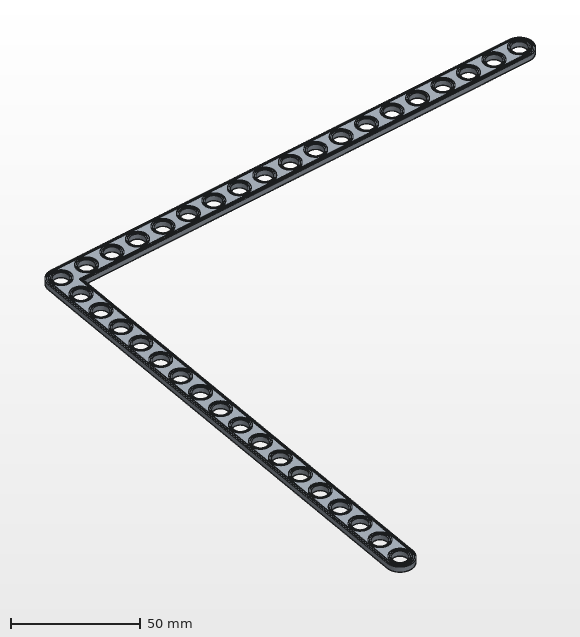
import cadquery as cq

long_arm_length = 237.5
long_arm_holes = 19
short_arm_holes = 18
thickness = 3.0
hole_diameter = 7.0
hole_mouth_diameter = 9.3

step_count = 2
step_height = 0.2
step_width = (hole_mouth_diameter - hole_diameter) / 2 / step_count
base_height = thickness - step_count * step_height

pitch = long_arm_length / long_arm_holes
arm_width = pitch
long_arm_reach = (long_arm_holes - 1) * pitch
short_arm_reach = (short_arm_holes - 1) * pitch

short_arm_centers = [(i * pitch, 0) for i in range(short_arm_holes)]
long_arm_centers = [(0, i * pitch) for i in range(1, long_arm_holes)]
hole_centers = short_arm_centers + long_arm_centers


def angle_bar(inset, height):
    """Solid L of two round-ended arms, its outline moved inward by the inset."""
    width = arm_width - 2 * inset
    short_arm = (
        cq.Workplane("XY")
        .center(short_arm_reach / 2, 0)
        .slot2D(short_arm_reach + width, width)
        .extrude(height)
    )
    long_arm = (
        cq.Workplane("XY")
        .center(0, long_arm_reach / 2)
        .slot2D(long_arm_reach + width, width, 90)
        .extrude(height)
    )
    return short_arm.union(long_arm)


def perforated_layer(inset, height):
    """One flat layer with its outline shrunk and its holes enlarged by the inset."""
    holes = (
        cq.Workplane("XY")
        .pushPoints(hole_centers)
        .circle(hole_diameter / 2 + inset)
        .extrude(height)
    )
    return angle_bar(inset, height).cut(holes)


result = perforated_layer(0, base_height)
for step in range(step_count):
    layer = perforated_layer((step + 1) * step_width, step_height)
    result = result.union(layer.translate((0, 0, base_height + step * step_height)))